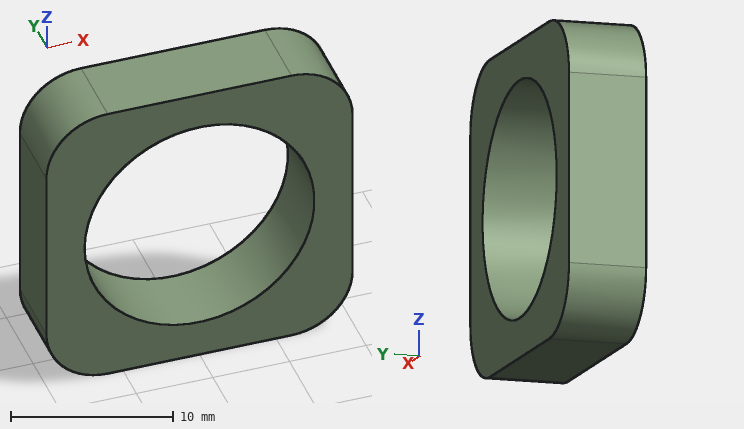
import cadquery as cq

side = 20.0
thickness = side / 4
corner_radius = side / 5
bore_diameter = 15.0

plate = cq.Workplane("XY").box(side, thickness, side).edges("|Y").fillet(corner_radius)

result = plate.faces("<Y").workplane(centerOption="CenterOfBoundBox").hole(bore_diameter)